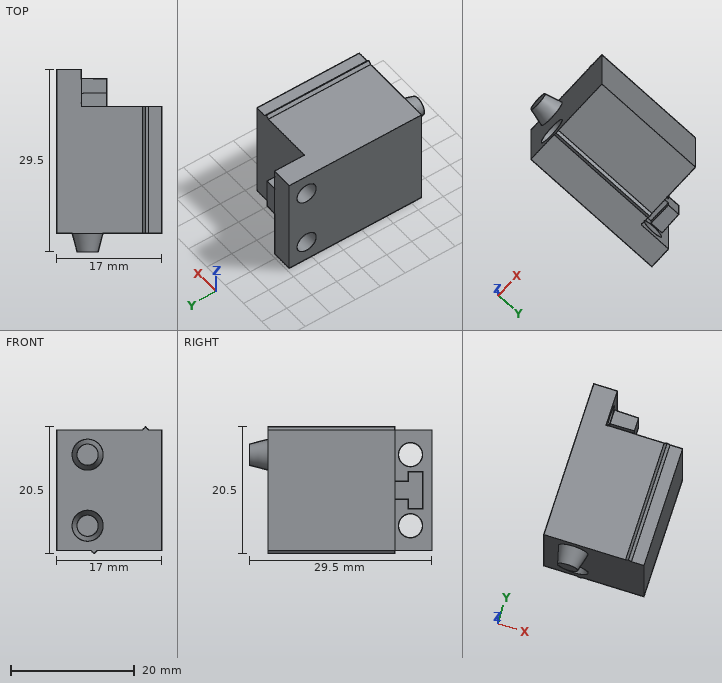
import cadquery as cq

width = 17.0
height = 19.5
block_depth = 20.5
total_depth = 26.5
flange_thickness = 4.0

cone_length = 3.0
cone_base_radius = 2.5
cone_tip_radius = 1.7
cone_x = 5.02

edge_offset = 4.0
lower_z = edge_offset
upper_z = height - edge_offset
hole_radius = 1.92
hole_y = 23.0

boss_length = 4.1
boss_draft = 1.0
bar_inner_y = 22.63
bar_outer_y = 25.05
bar_height = 6.02
web_height = 3.0

ridge_height = 0.5
ridge_half_width = 0.5
top_ridge_x = 14.37
bottom_ridge_x = 6.08


def make_body():
    """L-shaped plan extruded to the body height."""
    outline = [
        (0, 0),
        (width, 0),
        (width, block_depth),
        (flange_thickness, block_depth),
        (flange_thickness, total_depth),
        (0, total_depth),
    ]
    return cq.Workplane("XY").polyline(outline).close().extrude(height)


def make_cone(base_radius, tip_radius, length, base_center, direction):
    """Truncated cone growing from its base center along a direction."""
    cone = cq.Solid.makeCone(
        base_radius, tip_radius, length, cq.Vector(*base_center), cq.Vector(*direction)
    )
    return cq.Workplane(cone)


def make_ridge(ridge_x, face_z, peak_z):
    """Triangular ridge running the depth of the main block."""
    profile = [
        (ridge_x - ridge_half_width, face_z),
        (ridge_x + ridge_half_width, face_z),
        (ridge_x, peak_z),
    ]
    return cq.Workplane("XZ").polyline(profile).close().extrude(-block_depth)


def make_flange_holes():
    """Pair of holes passing through the flange along X."""
    centers = [(hole_y, lower_z), (hole_y, upper_z)]
    return cq.Workplane("YZ").pushPoints(centers).circle(hole_radius).extrude(flange_thickness)


def make_boss():
    """Drafted cross bar joined to the main block by a narrower web."""
    bar_middle_y = (bar_inner_y + bar_outer_y) / 2
    base = cq.Workplane("YZ", origin=(flange_thickness, 0, height / 2))
    bar = (
        base.center(bar_middle_y, 0)
        .rect(bar_outer_y - bar_inner_y, bar_height)
        .extrude(boss_length, taper=boss_draft)
    )
    web_length = 2 * (bar_middle_y - block_depth)
    web = (
        base.center(block_depth, 0)
        .rect(web_length, web_height)
        .extrude(boss_length, taper=boss_draft)
    )
    return bar.union(web)


peg = make_cone(cone_base_radius, cone_tip_radius, cone_length, (cone_x, 0, upper_z), (0, -1, 0))
socket = make_cone(cone_base_radius, cone_tip_radius, cone_length, (cone_x, 0, lower_z), (0, 1, 0))

result = (
    make_body()
    .union(peg)
    .union(make_boss())
    .union(make_ridge(top_ridge_x, height, height + ridge_height))
    .union(make_ridge(bottom_ridge_x, 0, -ridge_height))
    .cut(socket)
    .cut(make_flange_holes())
)